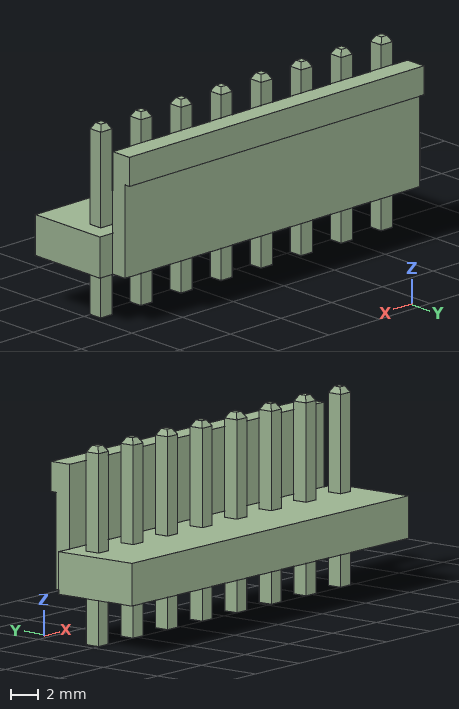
import cadquery as cq

body_length = 31.62
pin_count = 8
pin_pitch = body_length / pin_count

body_depth = 6.77
body_height = 3.13

wall_length = 29.1
wall_thickness = 1.25
wall_rise = 6.2
wall_top = body_height + wall_rise
lip_overhang = 0.47
lip_height = 2.2

pin_width = 1.15
pin_from_back = pin_pitch / 2
pin_below = 3.73
pin_length = 14.6
tip_height = 0.47
tip_width = pin_width / 2


def make_body():
    block = cq.Workplane("XY").box(body_length, body_depth, body_height, centered=(True, False, False))
    return block.translate((0, -body_depth, 0))


def make_locking_wall():
    """Hook-shaped profile in the YZ plane, extruded along the row."""
    back = wall_thickness
    lip_back = wall_thickness + lip_overhang
    profile = [
        (0, 0),
        (back, 0),
        (back, wall_top - lip_height),
        (lip_back, wall_top - lip_height),
        (lip_back, wall_top),
        (0, wall_top),
    ]
    return cq.Workplane("YZ").polyline(profile).close().extrude(wall_length / 2, both=True)


def make_pin(x):
    """One pin passing through the block, tapering to a small flat at the top."""
    shank_length = pin_length - tip_height
    shank = cq.Workplane("XY").rect(pin_width, pin_width).extrude(shank_length)
    tip = (
        cq.Workplane("XY", origin=(0, 0, shank_length))
        .rect(pin_width, pin_width)
        .workplane(offset=tip_height)
        .rect(tip_width, tip_width)
        .loft(ruled=True)
    )
    return shank.union(tip).translate((x, -pin_from_back, -pin_below))


result = make_body().union(make_locking_wall())
first_pin_x = -(pin_count - 1) * pin_pitch / 2
for index in range(pin_count):
    result = result.union(make_pin(first_pin_x + index * pin_pitch))